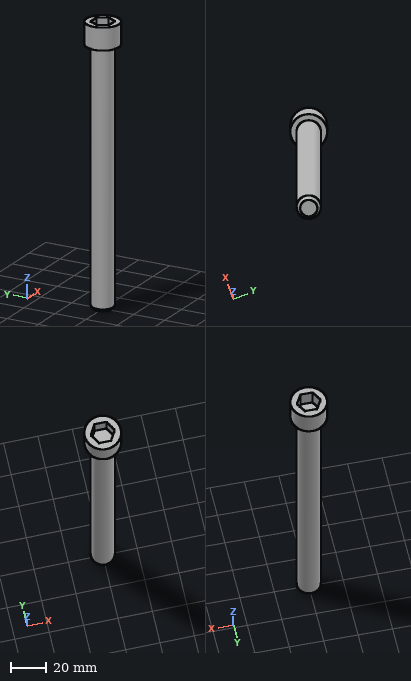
import cadquery as cq
import math

total_length = 174.0
head_diameter = 21.0
head_height = 14.0
shank_diameter = 14.0
tip_chamfer = 2.1
socket_across_flats = 12.0
socket_depth = 9.4

shank_length = total_length - head_height
shank_radius = shank_diameter / 2
head_radius = head_diameter / 2
socket_across_corners = socket_across_flats / math.cos(math.pi / 6)


def make_body():
    """Head and smooth shank with a chamfered tip, as one turned shape."""
    half_profile = (
        cq.Workplane("XZ")
        .lineTo(shank_radius - tip_chamfer, 0)
        .lineTo(shank_radius, tip_chamfer)
        .lineTo(shank_radius, shank_length)
        .lineTo(head_radius, shank_length)
        .lineTo(head_radius, total_length)
        .lineTo(0, total_length)
        .close()
    )
    return half_profile.revolve(360, (0, 0, 0), (0, 1, 0))


def make_socket():
    """Hexagonal socket with two corners over the X axis."""
    head_top = cq.Workplane("XY").workplane(offset=total_length)
    return head_top.polygon(6, socket_across_corners).extrude(-socket_depth)


result = make_body().cut(make_socket())